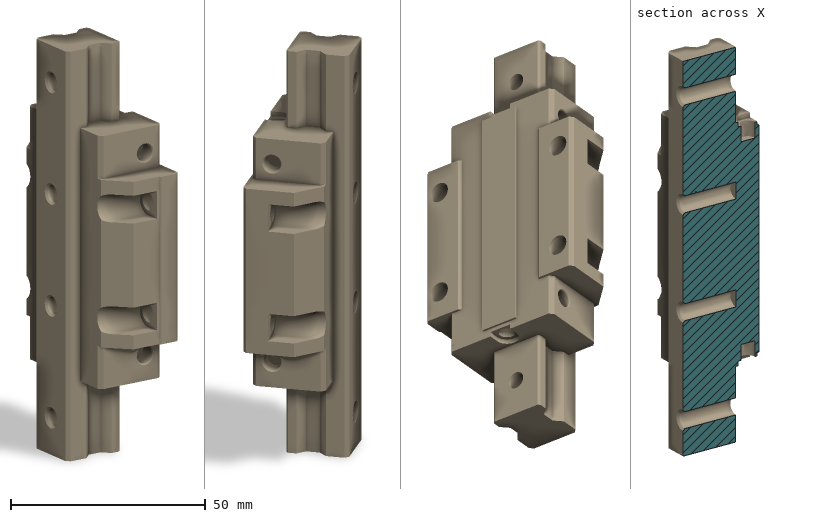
import cadquery as cq

RAIL_LENGTH = 110.0
RAIL_WIDTH = 15.0
RAIL_HEIGHT = 16.5
RAIL_FOOT_CHAMFER = 1.0
RAIL_HEAD_CHAMFER = 0.5
GROOVE_DEPTH = 2.1
GROOVE_START = 5.9
GROOVE_END = 13.8
RAIL_HOLE_COUNT = 4
RAIL_HOLE_PITCH = 30.0
RAIL_HOLE_DIAMETER = 4.6
RAIL_HOLE_MOUTH_DIAMETER = 5.7

BODY_LENGTH = 45.0
BODY_WIDTH = 47.0
BODY_BOTTOM = 4.0
BODY_TOP = 24.0
BODY_BOTTOM_WIDTH = 34.1
BODY_TOP_CHAMFER = 1.0
SIDE_RELIEF = 0.4
SIDE_RELIEF_TOP = 17.8
TOP_RECESS_WIDTH = 26.0

MOUNT_SPACING_X = 38.0
MOUNT_SPACING_Z = RAIL_HOLE_PITCH
MOUNT_HOLE_DIAMETER = 5.0
MOUNT_THREAD_DIAMETER = 5.5
MOUNT_LIP = 1.1
SLOT_WIDTH = 7.5
SLOT_FLOOR = 17.2

CAP_WIDTH = 33.0
CAP_TOP = 23.2
TOP_RECESS_DEPTH = BODY_TOP - CAP_TOP
CAP_CHAMFER = 1.1
CARRIAGE_LENGTH = 68.0
CAP_LENGTH = (CARRIAGE_LENGTH - BODY_LENGTH) / 2

PAD_WIDTH = 10.6
PAD_TOP = 23.9
PAD_END_GAP = 2.3
PORT_CENTER_Y = 20.4
PORT_HOLE_DIAMETER = 4.2
PORT_HOLE_DEPTH = 4.4
PORT_POCKET_WIDTH = 6.3
PORT_POCKET_DEPTH = 1.3
SIDE_HOLE_DIAMETER = 4.6
SIDE_HOLE_MOUTH_DIAMETER = 5.2
SIDE_HOLE_DEPTH = 4.4
SIDE_HOLE_Y = 17.9
SIDE_HOLE_END_GAP = 6.8


def along_z(outline, length):
    """Extrude an XY outline symmetrically about Z = 0."""
    return cq.Workplane("XY").polyline(outline).close().extrude(length / 2, both=True)


def cylinder(start, direction, diameter, depth):
    solid = cq.Solid.makeCylinder(diameter / 2, depth, cq.Vector(*start), cq.Vector(*direction))
    return cq.Workplane(solid)


def countersunk_hole(start, direction, diameter, mouth_diameter, depth):
    """Hole cutter with a 45 degree mouth chamfer at its start."""
    mouth = cq.Solid.makeCone(
        mouth_diameter / 2, diameter / 2, (mouth_diameter - diameter) / 2,
        cq.Vector(*start), cq.Vector(*direction))
    return cylinder(start, direction, diameter, depth).union(cq.Workplane(mouth))


def make_rail():
    half = RAIL_WIDTH / 2
    foot = RAIL_FOOT_CHAMFER
    head = RAIL_HEAD_CHAMFER
    right_side = [
        (half - foot, 0),
        (half, foot),
        (half, GROOVE_START),
        (half - GROOVE_DEPTH, GROOVE_START + GROOVE_DEPTH),
        (half - GROOVE_DEPTH, GROOVE_END - GROOVE_DEPTH),
        (half, GROOVE_END),
        (half, RAIL_HEIGHT - head),
        (half - head, RAIL_HEIGHT),
    ]
    left_side = [(-x, y) for x, y in reversed(right_side)]
    return along_z(right_side + left_side, RAIL_LENGTH)


def make_rail_holes():
    holes = cq.Workplane("XY")
    for index in range(RAIL_HOLE_COUNT):
        z = (index - (RAIL_HOLE_COUNT - 1) / 2) * RAIL_HOLE_PITCH
        holes = holes.add(countersunk_hole(
            (0, 0, z), (0, 1, 0), RAIL_HOLE_DIAMETER, RAIL_HOLE_MOUTH_DIAMETER, RAIL_HEIGHT))
    return holes.combine()


def make_body():
    half = BODY_WIDTH / 2
    relieved = half - SIDE_RELIEF
    foot = BODY_BOTTOM_WIDTH / 2
    recess = TOP_RECESS_WIDTH / 2
    shoulder = BODY_TOP - BODY_TOP_CHAMFER
    outline = [
        (-foot, BODY_BOTTOM),
        (foot, BODY_BOTTOM),
        (relieved, BODY_BOTTOM + relieved - foot),
        (relieved, SIDE_RELIEF_TOP),
        (half, SIDE_RELIEF_TOP + SIDE_RELIEF),
        (half, shoulder),
        (half - BODY_TOP_CHAMFER, BODY_TOP),
        (recess, BODY_TOP),
        (recess - TOP_RECESS_DEPTH, CAP_TOP),
        (-recess + TOP_RECESS_DEPTH, CAP_TOP),
        (-recess, BODY_TOP),
        (-half + BODY_TOP_CHAMFER, BODY_TOP),
        (-half, shoulder),
        (-half, BODY_BOTTOM + half - foot),
    ]
    body = along_z(outline, BODY_LENGTH)
    slot_height = SLOT_FLOOR - BODY_BOTTOM
    for side in (-1, 1):
        for end in (-1, 1):
            x = side * MOUNT_SPACING_X / 2
            z = end * MOUNT_SPACING_Z / 2
            start = (x, BODY_BOTTOM, z)
            body = body.cut(cylinder(start, (0, 1, 0), SLOT_WIDTH, slot_height))
            opening = cq.Workplane("XY").box(
                half, slot_height, SLOT_WIDTH, centered=(True, False, True))
            body = body.cut(opening.translate((x + side * half / 2, BODY_BOTTOM, z)))
            body = body.cut(cylinder(start, (0, 1, 0), MOUNT_HOLE_DIAMETER, BODY_TOP))
            bore_start = (x, SLOT_FLOOR + MOUNT_LIP, z)
            body = body.cut(cylinder(bore_start, (0, 1, 0), MOUNT_THREAD_DIAMETER, BODY_TOP))
    return body


def make_upper_cap():
    """End cap at the +Z end of the carriage body."""
    end_z = CARRIAGE_LENGTH / 2
    cap = (
        cq.Workplane("XY")
        .box(CAP_WIDTH, CAP_TOP - BODY_BOTTOM, CAP_LENGTH, centered=(True, False, False))
        .edges("|Z").chamfer(CAP_CHAMFER)
        .translate((0, BODY_BOTTOM, BODY_LENGTH / 2))
    )

    port = (0, PORT_CENTER_Y, end_z)
    cap = cap.cut(cylinder(port, (0, 0, -1), PORT_POCKET_WIDTH, PORT_POCKET_DEPTH))
    pocket_top = cq.Workplane("XY").box(
        PORT_POCKET_WIDTH, CAP_TOP - PORT_CENTER_Y, PORT_POCKET_DEPTH, centered=(True, False, False))
    cap = cap.cut(pocket_top.translate((0, PORT_CENTER_Y, end_z - PORT_POCKET_DEPTH)))
    cap = cap.cut(cylinder(port, (0, 0, -1), PORT_HOLE_DIAMETER, PORT_POCKET_DEPTH + PORT_HOLE_DEPTH))

    for side in (-1, 1):
        start = (side * CAP_WIDTH / 2, SIDE_HOLE_Y, end_z - SIDE_HOLE_END_GAP)
        cap = cap.cut(countersunk_hole(
            start, (-side, 0, 0), SIDE_HOLE_DIAMETER, SIDE_HOLE_MOUTH_DIAMETER, SIDE_HOLE_DEPTH))
    return cap


def make_top_pad():
    length = CARRIAGE_LENGTH - 2 * PAD_END_GAP
    pad = cq.Workplane("XY").box(PAD_WIDTH, PAD_TOP - CAP_TOP, length, centered=(True, False, True))
    return pad.translate((0, CAP_TOP, 0))


upper_cap = make_upper_cap()
lower_cap = upper_cap.mirror("XY")
carriage = make_body().union(upper_cap).union(lower_cap).union(make_top_pad())
result = carriage.union(make_rail()).cut(make_rail_holes())